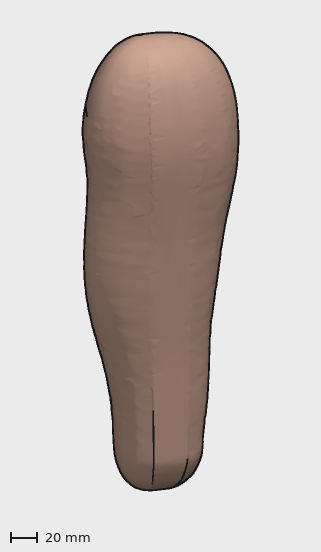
import math

import cadquery as cq

HEIGHT = 356.31
BOTTOM_DOME_HEIGHT = 40.0
TOP_DOME_HEIGHT = 78.0
TOP_DOME_START = HEIGHT - TOP_DOME_HEIGHT

BAND_WIDTH = 10.4
HALF_BAND = BAND_WIDTH / 2
BAND_Y_AT_TOP = 0.5
BAND_Y_AT_BOTTOM = 9.0

BODY_SECTIONS = [
    (BOTTOM_DOME_HEIGHT, -39.0, 23.5, -23.0, 44.0),
    (70.0, -39.5, 26.0, -26.0, 47.0),
    (100.0, -39.5, 28.0, -33.0, 48.0),
    (130.0, -40.0, 31.0, -42.5, 49.0),
    (160.0, -40.0, 34.5, -49.5, 52.5),
    (200.0, -40.0, 38.5, -51.5, 57.5),
    (240.0, -44.5, 44.5, -49.5, 65.5),
    (TOP_DOME_START, -48.5, 48.5, -53.5, 68.0),
]

TOP_X = 5.0
BOTTOM_X = -11.0
TOP_FULLNESS_X = 2.0
TOP_FULLNESS_FRONT = 2.1
TOP_FULLNESS_BACK = 2.4
BOTTOM_FULLNESS = 2.2
DOME_STEPS = 7

FRONT_CREST_AT_BOTTOM = 0.48
FRONT_CREST_AT_TOP = 0.64
BACK_CREST = 0.55
LEFT_FULLNESS = 1.8
RIGHT_FULLNESS = 2.0
SIDE_STEPS = 5


def at_height(z, bottom_value, top_value):
    """Value that changes evenly from the bottom of the part to its top."""
    return bottom_value + (top_value - bottom_value) * z / HEIGHT


def band_y(z):
    """Y of the middle of the rim band, which leans slightly over the height."""
    return at_height(z, BAND_Y_AT_BOTTOM, BAND_Y_AT_TOP)


def shrink(rise, fullness):
    """Remaining share of the size at a relative rise (0 to 1) inside a dome."""
    return (1 - rise**fullness) ** (1 / fullness)


def dome_section(base, tip_x, tip_z, angle, fullness_x, fullness_front, fullness_back):
    """Section of a dome that starts at a body section and closes on a tip point."""
    base_z, left, right, front, back = base
    rise = math.sin(angle)
    z = base_z + (tip_z - base_z) * rise
    base_middle = (left + right) / 2
    middle = base_middle + (tip_x - base_middle) * rise**2
    half_width = (right - left) / 2 * shrink(rise, fullness_x)
    front_depth = (band_y(base_z) - HALF_BAND - front) * shrink(rise, fullness_front)
    back_depth = (back - band_y(base_z) - HALF_BAND) * shrink(rise, fullness_back)
    return (
        z,
        middle - half_width,
        middle + half_width,
        band_y(z) - HALF_BAND - front_depth,
        band_y(z) + HALF_BAND + back_depth,
    )


def all_sections():
    """Every cross-section from just above the bottom tip to just below the top tip."""
    angles = [math.pi / 2 * step / DOME_STEPS for step in range(1, DOME_STEPS)]
    bottom_fullness = (BOTTOM_FULLNESS, BOTTOM_FULLNESS, BOTTOM_FULLNESS)
    top_fullness = (TOP_FULLNESS_X, TOP_FULLNESS_FRONT, TOP_FULLNESS_BACK)
    bottom = [
        dome_section(BODY_SECTIONS[0], BOTTOM_X, 0.0, angle, *bottom_fullness)
        for angle in reversed(angles)
    ]
    top = [dome_section(BODY_SECTIONS[-1], TOP_X, HEIGHT, angle, *top_fullness) for angle in angles]
    return bottom + BODY_SECTIONS + top


def section_arch(z, left, right, rim, crest, crest_share):
    """Arch from the left rim over the crest to the right rim at height z."""
    crest_x = left + (right - left) * crest_share
    points = []
    for step in range(2 * SIDE_STEPS + 1):
        angle = math.pi / 2 * (step / SIDE_STEPS - 1)
        if angle < 0:
            reach, fullness = crest_x - left, LEFT_FULLNESS
        else:
            reach, fullness = right - crest_x, RIGHT_FULLNESS
        across = abs(math.sin(angle)) ** (2 / fullness)
        rise = abs(math.cos(angle)) ** (2 / fullness)
        x = crest_x + math.copysign(reach * across, angle)
        points.append(cq.Vector(x, rim + (crest - rim) * rise, z))
    outward = cq.Vector(0, math.copysign(1, crest - rim), 0)
    return cq.Edge.makeSpline(points, tangents=[outward, -outward])


def shell_face(side):
    """Smooth face on the front (side = -1) or back (side = 1) of the rim band."""
    offset = side * HALF_BAND
    bottom_tip = cq.Vertex.makeVertex(BOTTOM_X, band_y(0) + offset, 0)
    top_tip = cq.Vertex.makeVertex(TOP_X, band_y(HEIGHT) + offset, HEIGHT)
    arches = []
    for z, left, right, front, back in all_sections():
        rim = band_y(z) + offset
        if side < 0:
            crest_share = at_height(z, FRONT_CREST_AT_BOTTOM, FRONT_CREST_AT_TOP)
            arch = section_arch(z, left, right, rim, front, crest_share)
        else:
            arch = section_arch(z, left, right, rim, back, BACK_CREST)
        arches.append(cq.Wire.assembleEdges([arch]))
    sections = [bottom_tip, *arches, top_tip]
    return cq.occ_impl.shapes.loft(sections, parametrization="chordal")


def rim_edges(face):
    """Left and right rim edges of a shell face."""
    return sorted(face.Edges(), key=lambda edge: edge.Center().x)


front_face = shell_face(-1)
back_face = shell_face(1)
bands = [
    cq.Face.makeRuledSurface(front_rim, back_rim)
    for front_rim, back_rim in zip(rim_edges(front_face), rim_edges(back_face))
]
shell = cq.Shell.makeShell([front_face, back_face, *bands])
result = cq.Workplane(obj=cq.Solid.makeSolid(shell))